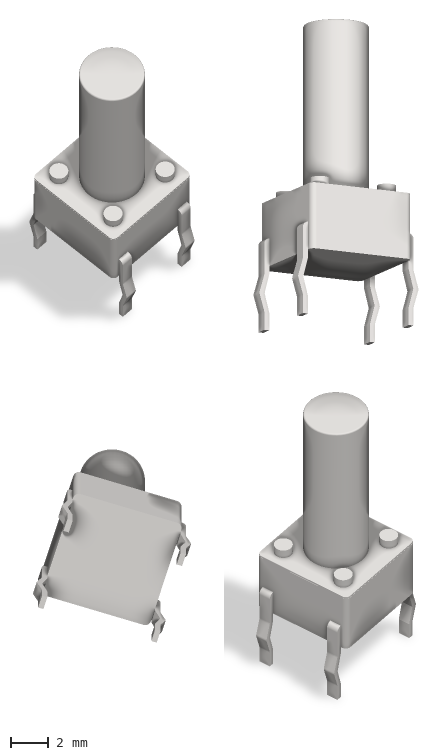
import cadquery as cq
import math

total_height = 16.5
body_bottom = 3.5
body_top = 7.0
cover_thickness = 0.1
peg_height = 0.51

body_side = 6.0
corner_radius = 0.3
cover_side = 5.99

button_diameter = 3.5
button_edge_radius = 0.1

peg_diameter = 1.0
peg_spacing = 4.0

leg_span = 7.18
leg_thickness = 0.3
leg_width = 0.7
leg_spacing = 4.5
leg_top = 5.0
kink_upper_z = 3.0
kink_peak_z = 2.0
kink_lower_z = 1.0
elbow_bend_radius = 0.35
peak_bend_radius = 0.25

cover_top = body_top + cover_thickness


def rounded_slab(side, bottom, top):
    """Square slab with rounded upright edges."""
    slab = cq.Workplane("XY").workplane(offset=bottom).rect(side, side).extrude(top - bottom)
    return slab.edges("|Z").fillet(corner_radius)


def cover_cylinder(diameter, height):
    """Upright cylinder standing on the middle of the cover."""
    return cq.Workplane("XY").workplane(offset=cover_top).circle(diameter / 2).extrude(height)


def make_leg():
    """Leg on the +X side, centred on Y = 0, with an outward kink below the housing."""
    inner_x = body_side / 2
    outer_x = inner_x + leg_thickness
    peak_x = leg_span / 2
    kink_angle = math.atan2(peak_x - outer_x, kink_upper_z - kink_peak_z)
    elbow_shift = leg_thickness * math.tan(kink_angle / 2)
    inner_peak_x = peak_x - leg_thickness / math.cos(kink_angle)
    peak_loss = peak_bend_radius * (1 / math.cos(kink_angle) - 1)

    leg = (
        cq.Workplane("XZ")
        .moveTo(inner_x, 0)
        .lineTo(outer_x, 0)
        .lineTo(outer_x, kink_lower_z)
        .lineTo(peak_x + peak_loss, kink_peak_z)
        .lineTo(outer_x, kink_upper_z)
        .lineTo(outer_x, leg_top - leg_thickness)
        .radiusArc((inner_x, leg_top), -leg_thickness)
        .lineTo(inner_x, kink_upper_z + elbow_shift)
        .lineTo(inner_peak_x, kink_peak_z)
        .lineTo(inner_x, kink_lower_z - elbow_shift)
        .close()
        .extrude(leg_width / 2, both=True)
    )
    for elbow_z in (kink_lower_z, kink_upper_z):
        elbow_edge = cq.selectors.NearestToPointSelector((outer_x, 0, elbow_z))
        leg = leg.edges(elbow_edge).fillet(elbow_bend_radius)
    peak_edge = cq.selectors.NearestToPointSelector((peak_x, 0, kink_peak_z))
    return leg.edges(peak_edge).fillet(peak_bend_radius)


body = rounded_slab(body_side, body_bottom, body_top)
cover = rounded_slab(cover_side, body_top, cover_top)
button = cover_cylinder(button_diameter, total_height - cover_top)
button = button.faces(">Z").edges().fillet(button_edge_radius)
result = body.union(cover).union(button)

peg = cover_cylinder(peg_diameter, peg_height)
right_leg = make_leg()
left_leg = right_leg.mirror("YZ")
for y_side in (-1, 1):
    for x_side in (-1, 1):
        peg_place = (x_side * peg_spacing / 2, y_side * peg_spacing / 2, 0)
        result = result.union(peg.translate(peg_place))
    for leg in (left_leg, right_leg):
        result = result.union(leg.translate((0, y_side * leg_spacing / 2, 0)))